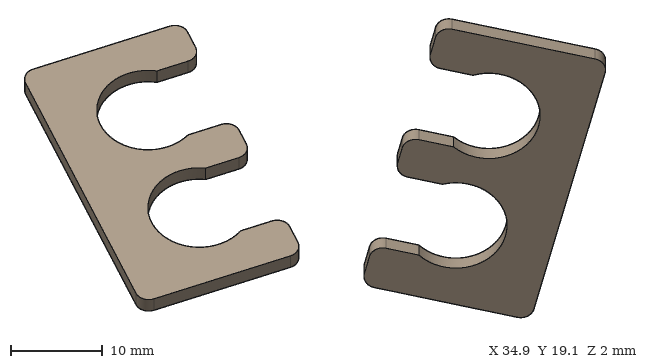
import cadquery as cq

length = 34.92
width = 19.05
thickness = 2.0
corner_radius = 1.5

seat_spacing = 14.8
seat_radius = 5.6
seat_height = 10.93
mouth_spacing = 14.65
mouth_width = 9.6

seat_y = seat_height - width / 2
mouth_length = width - seat_height


def open_seat(side):
    """Cutter for the seat and mouth on one side (-1 or 1) of the centre."""
    seat = (
        cq.Workplane("XY")
        .center(side * seat_spacing / 2, seat_y)
        .circle(seat_radius)
        .extrude(thickness)
    )
    mouth = (
        cq.Workplane("XY")
        .center(side * mouth_spacing / 2, seat_y + mouth_length / 2)
        .rect(mouth_width, mouth_length)
        .extrude(thickness)
    )
    return seat.union(mouth)


plate = cq.Workplane("XY").box(length, width, thickness, centered=(True, True, False))
for side in (-1, 1):
    plate = plate.cut(open_seat(side))

result = plate.edges("|Z").edges(">Y or <Y").fillet(corner_radius)